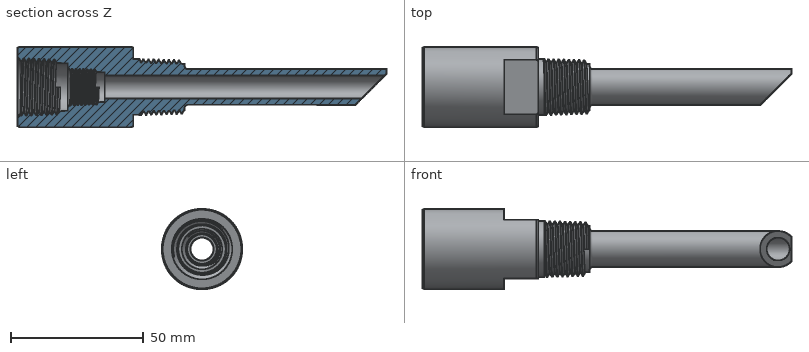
import cadquery as cq
import math

TOTAL_LENGTH = 139.7

BODY_DIAMETER = 30.48
BODY_LENGTH = 43.9
BODY_CHAMFER_LENGTH = 0.8
BODY_CHAMFER_DEPTH = 0.4

FLAT_SPACING = 22.35
FLAT_LENGTH = 12.95

TUBE_DIAMETER = 13.72
BORE_DIAMETER = 8.64
BEVEL_ANGLE = 45.0
TIP_LAND_Y = 5.12

TAPER = 1 / 32
EMBED = 0.15
CREST_WIDTH = 0.15
THREAD_HALF_ANGLE = math.radians(30)

NECK_DIAMETER = 21.34
NECK_LENGTH = 2.3
NECK_RUNOUT = 0.6
MALE_END = 63.3
MALE_ROOT_END_DIAMETER = 17.58
MALE_PITCH = 1.93
MALE_THREAD_DEPTH = 1.35
MALE_THREAD_START = 45.3
MALE_THREAD_TURNS = 8.75
FILLET_RADIUS = 1.1

INLET_DEPTH = 19.0
INLET_END_DIAMETER = 17.86
INLET_MOUTH_DIAMETER = 22.9
INLET_PITCH = MALE_PITCH
INLET_THREAD_DEPTH = MALE_THREAD_DEPTH
INLET_SINK_LENGTH = 1.6

INNER_DEPTH = 14.0
INNER_END_DIAMETER = 11.12
INNER_MOUTH_DIAMETER = 15.3
INNER_PITCH = 1.411
INNER_THREAD_DEPTH = 0.95
INNER_SINK_LENGTH = 1.4

BODY_RADIUS = BODY_DIAMETER / 2
TUBE_RADIUS = TUBE_DIAMETER / 2
NECK_END = BODY_LENGTH + NECK_LENGTH


def revolve_about_x(outline):
    """Close an outline drawn in (X, radius) and revolve it about the X axis."""
    return outline.close().revolve(360, (0, 0, 0), (1, 0, 0))


def helical_thread(start, turns, pitch, root_radius, depth):
    """Right-handed V thread standing on a cone that narrows along +X."""
    path = cq.Wire.makeHelix(
        pitch, turns * pitch, root_radius, angle=-math.degrees(math.atan(TAPER))
    )
    half_crest = CREST_WIDTH / 2
    half_base = half_crest + (depth + EMBED) * math.tan(THREAD_HALF_ANGLE)
    base = root_radius - EMBED
    crest = root_radius + depth
    section = cq.Workplane("XZ").polyline(
        [(base, -half_base), (crest, -half_crest), (crest, half_crest), (base, half_base)]
    )
    thread = section.close().sweep(cq.Workplane(path), isFrenet=True)
    return thread.rotate((0, 0, 0), (0, 1, 0), 90).translate((start, 0, 0))


def make_body():
    """Chamfered cylinder with two wrench flats at its far end."""
    edge_radius = BODY_RADIUS - BODY_CHAMFER_DEPTH
    body = revolve_about_x(
        cq.Workplane("XY")
        .lineTo(0, edge_radius)
        .lineTo(BODY_CHAMFER_LENGTH, BODY_RADIUS)
        .lineTo(BODY_LENGTH - BODY_CHAMFER_LENGTH, BODY_RADIUS)
        .lineTo(BODY_LENGTH, edge_radius)
        .lineTo(BODY_LENGTH, 0)
    )
    for side in (1, -1):
        flat_cut = cq.Workplane("XY").box(
            FLAT_LENGTH, BODY_DIAMETER, BODY_RADIUS, centered=(False, True, True)
        )
        flat_z = side * (FLAT_SPACING + BODY_RADIUS) / 2
        body = body.cut(flat_cut.translate((BODY_LENGTH - FLAT_LENGTH, 0, flat_z)))
    return body


def make_male_end():
    """Neck, tapered thread and the blend onto the tube."""
    root_end = MALE_ROOT_END_DIAMETER / 2
    root_start = NECK_END + NECK_RUNOUT
    root_start_radius = root_end + (MALE_END - root_start) * TAPER
    core = revolve_about_x(
        cq.Workplane("XY")
        .moveTo(BODY_LENGTH, 0)
        .lineTo(BODY_LENGTH, NECK_DIAMETER / 2)
        .lineTo(NECK_END, NECK_DIAMETER / 2)
        .lineTo(root_start, root_start_radius)
        .lineTo(MALE_END, root_end)
        .lineTo(MALE_END, TUBE_RADIUS + FILLET_RADIUS)
        .radiusArc((MALE_END + FILLET_RADIUS, TUBE_RADIUS), -FILLET_RADIUS)
        .lineTo(MALE_END + FILLET_RADIUS, 0)
    )
    thread = helical_thread(
        MALE_THREAD_START,
        MALE_THREAD_TURNS,
        MALE_PITCH,
        root_end + (MALE_END - MALE_THREAD_START) * TAPER,
        MALE_THREAD_DEPTH,
    )
    return core.union(thread)


def make_tube():
    """Plain tube whose tip is bevelled, leaving the long side at +Y."""
    tube = (
        cq.Workplane("YZ", origin=(BODY_LENGTH, 0, 0))
        .circle(TUBE_RADIUS)
        .extrude(TOTAL_LENGTH - BODY_LENGTH)
    )
    rise = TIP_LAND_Y + TUBE_DIAMETER
    run = rise / math.tan(math.radians(BEVEL_ANGLE))
    bevel_cut = (
        cq.Workplane("XY")
        .polyline(
            [
                (TOTAL_LENGTH, TIP_LAND_Y),
                (TOTAL_LENGTH - run, TIP_LAND_Y - rise),
                (TOTAL_LENGTH, TIP_LAND_Y - rise),
            ]
        )
        .close()
        .extrude(TUBE_DIAMETER, both=True)
    )
    return tube.cut(bevel_cut)


def socket_cut(start, depth, end_diameter, mouth_diameter, sink_length, pitch, thread_depth):
    """Tapered threaded hole with a countersunk mouth."""
    end_radius = end_diameter / 2
    mouth_radius = mouth_diameter / 2
    start_radius = end_radius + depth * TAPER
    hole = revolve_about_x(
        cq.Workplane("XY")
        .moveTo(start, 0)
        .lineTo(start, mouth_radius)
        .lineTo(start + sink_length, start_radius - sink_length * TAPER)
        .lineTo(start + depth, end_radius)
        .lineTo(start + depth, 0)
    )
    turns = math.floor(depth / pitch) - 1
    thread = helical_thread(start, turns, pitch, start_radius, thread_depth)
    return hole.union(thread)


def passage_voids():
    """Both threaded sockets and the straight bore through the tube."""
    inlet = socket_cut(
        0,
        INLET_DEPTH,
        INLET_END_DIAMETER,
        INLET_MOUTH_DIAMETER,
        INLET_SINK_LENGTH,
        INLET_PITCH,
        INLET_THREAD_DEPTH,
    )
    inner = socket_cut(
        INLET_DEPTH,
        INNER_DEPTH,
        INNER_END_DIAMETER,
        INNER_MOUTH_DIAMETER,
        INNER_SINK_LENGTH,
        INNER_PITCH,
        INNER_THREAD_DEPTH,
    )
    bore = cq.Workplane("YZ").circle(BORE_DIAMETER / 2).extrude(TOTAL_LENGTH)
    return [inlet, inner, bore]


result = make_body().union(make_male_end()).union(make_tube())
for void in passage_voids():
    result = result.cut(void)
result = cq.Workplane(result.solids().val())